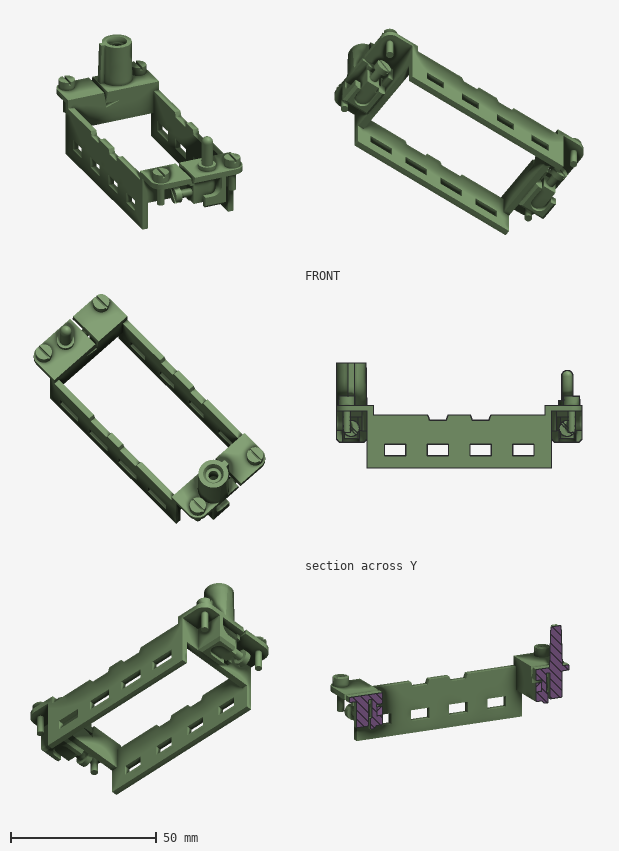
import cadquery as cq
import math

LENGTH = 84.65
WIDTH = 34.5
HALF_LENGTH = LENGTH / 2
HALF_WIDTH = WIDTH / 2
FRAME_HALF_LENGTH = 31.8
END_WALL_INNER_X = 29.55
LONG_WALL_THICKNESS = 2.1
LONG_WALL_HEIGHT = 18.4
END_WALL_BOTTOM = 9.9
PLATE_TOP = 21.7
PLATE_THICKNESS = 2.0
PLATE_BOTTOM = PLATE_TOP - PLATE_THICKNESS
CORNER_RADIUS = 4.0

FRONT_WINDOW_WIDTH = 7.2
REAR_WINDOW_WIDTH = 9.05
WINDOW_HEIGHT = 3.9
WINDOW_BOTTOM = 4.3
WINDOW_PITCH = 14.7
WINDOW_COUNT = 4
NOTCH_DEPTH = 1.8
NOTCH_SIDE_SLOPE = 0.7
FRONT_NOTCH_WIDTH = 7.0
REAR_NOTCH_WIDTH = 9.1
NOTCH_CENTERS = (-WINDOW_PITCH / 2, WINDOW_PITCH / 2)

GAP_REAR_Y = -2.2
GAP_FRONT_Y = -3.6
GAP_BOTTOM = (-3.0, 17.6)
RELIEF_FLOOR_Z = 15.8
STEP_Y = -1.3
STEP_Z = 13.4
TONGUE_END_Y = 3.05
BULB_RADIUS = 1.35
BULB_CENTER = (3.3, 18.1)
NECK_FRONT_Y = 2.1

RIB_OUTER_X = 33.6
RIB_FRONT_Y = -5.5
RIB_BOTTOM = 12.8

POST_X = 37.25
POST_Y = 4.7
BLOCK_FRONT_Y = -0.9
BLOCK_REAR_Y = 9.6
BLOCK_BOTTOM = 8.9
BLOCK_CHAMFER = 1.0
HOOK_FRONT_Y = 1.9
HOOK_FLOOR = 13.0
HOOK_REAR_Y = 8.0
HOOK_RADIUS = 3.4
CHANNEL_DIAMETER = 5.8
CORE_WIDTH = 4.7
CORE_BOTTOM = 10.2
CORE_ROUND_Y = 4.2
CORE_ROUND_RADIUS = 3.8
CORE_FRONT_Y = -1.48
LIP_OUTER_X = 40.1

BOLT_Z = 13.7
BOLT_DIAMETER = 3.0
BOLT_HEAD_DIAMETER = 5.6
BOLT_HEAD_REAR_Y = -5.9
BOLT_HEAD_HEIGHT = 2.2
BOLT_SLOT_DEPTH = 1.2
SLOT_WIDTH = 0.8
BOLT_SLOT_ANGLE = 45

SCREW_X = 38.8
SCREW_Y = 13.55
SCREW_DIAMETER = 2.5
SCREW_BOTTOM = 12.4
SCREW_HEAD_DIAMETER = 5.6
SCREW_HEAD_HEIGHT = 3.1
SCREW_SLOT_DEPTH = 1.2

BUSH_TOP = 36.3
BUSH_TOP_RADIUS = 5.2
BUSH_BASE_RADIUS = 5.4
BUSH_MOUTH_RADIUS = 3.55
BUSH_SEAT_DIAMETER = 5.5
BUSH_SEAT_DEPTH = 1.7
BUSH_HOLE_RADIUS = 1.7
BUSH_HOLE_DEPTH = 6.8
BUSH_HOLE_TIP = 1.0
KEY_WIDTH = 2.1
KEY_TOP_Y = -1.5
KEY_BASE_Y = -2.0

PIN_DIAMETER = 4.0
PIN_STRAIGHT_TOP = 31.75
COLLAR_DIAMETER = 6.0
COLLAR_TOP = 23.3


def box(x_range, y_range, z_range):
    size = [high - low for low, high in (x_range, y_range, z_range)]
    corner = (x_range[0], y_range[0], z_range[0])
    return cq.Workplane("XY").box(*size, centered=False).translate(corner)


def yz_prism(x_start, x_end, points):
    """Polygon of (Y, Z) points extruded along X."""
    return cq.Workplane("YZ", origin=(x_start, 0, 0)).polyline(points).close().extrude(x_end - x_start)


def upright_cylinder(x, y, z_range, diameter):
    low, high = z_range
    return cq.Workplane("XY", origin=(x, y, low)).circle(diameter / 2).extrude(high - low)


def both_ends(end):
    """A feature of the +X end together with its mirror image at the -X end."""
    return end.union(end.mirror("YZ"))


def bulb_z_below(y):
    """Height of the lower half of the bulb circle at a given Y."""
    center_y, center_z = BULB_CENTER
    return center_z - math.sqrt(BULB_RADIUS**2 - (y - center_y) ** 2)


NECK_FRONT = (NECK_FRONT_Y, bulb_z_below(NECK_FRONT_Y))
NECK_REAR = (TONGUE_END_Y, bulb_z_below(TONGUE_END_Y))


def front_side(x_start, x_end):
    """Everything on the front side of the joint: plate edge, tongue and its bulb."""
    bulb_top = (BULB_CENTER[0], BULB_CENTER[1] + BULB_RADIUS)
    return (
        cq.Workplane("YZ", origin=(x_start, 0, 0))
        .moveTo(-HALF_WIDTH, END_WALL_BOTTOM)
        .lineTo(STEP_Y, END_WALL_BOTTOM)
        .lineTo(STEP_Y, STEP_Z)
        .lineTo(TONGUE_END_Y, STEP_Z)
        .lineTo(*NECK_REAR)
        .threePointArc(bulb_top, NECK_FRONT)
        .lineTo(GAP_BOTTOM[0], RELIEF_FLOOR_Z)
        .lineTo(*GAP_BOTTOM)
        .lineTo(GAP_FRONT_Y, PLATE_TOP)
        .lineTo(-HALF_WIDTH, PLATE_TOP)
        .close()
        .extrude(x_end - x_start)
    )


def joint_gap():
    """V-shaped gap between the plates and the wedge-shaped relief above the tongue."""
    x_range = (END_WALL_INNER_X, HALF_LENGTH)
    plate_gap = yz_prism(*x_range, [(GAP_REAR_Y, PLATE_TOP), GAP_BOTTOM, (GAP_FRONT_Y, PLATE_TOP)])
    relief = yz_prism(*x_range, [GAP_BOTTOM, NECK_FRONT, (GAP_BOTTOM[0], RELIEF_FLOOR_Z)])
    return plate_gap.union(relief)


def uncut_end():
    """End wall and plate of the +X end, before it is divided at the joint."""
    y_range = (-HALF_WIDTH, HALF_WIDTH)
    wall = box((END_WALL_INNER_X, FRAME_HALF_LENGTH), y_range, (END_WALL_BOTTOM, PLATE_TOP))
    plate = box((END_WALL_INNER_X, HALF_LENGTH), y_range, (PLATE_BOTTOM, PLATE_TOP))
    plate = plate.edges("|Z and >X").fillet(CORNER_RADIUS)
    return wall.union(plate)


def long_wall(outer_y, inner_y, window_width, notch_width):
    y_range = (min(outer_y, inner_y), max(outer_y, inner_y))
    wall = box((-FRAME_HALF_LENGTH, FRAME_HALF_LENGTH), y_range, (0, LONG_WALL_HEIGHT))
    for index in range(WINDOW_COUNT):
        left = (index - (WINDOW_COUNT - 1) / 2) * WINDOW_PITCH - window_width / 2
        window_z = (WINDOW_BOTTOM, WINDOW_BOTTOM + WINDOW_HEIGHT)
        wall = wall.cut(box((left, left + window_width), y_range, window_z))
    floor_z = LONG_WALL_HEIGHT - NOTCH_DEPTH
    for center in NOTCH_CENTERS:
        half_top = notch_width / 2
        half_floor = half_top - NOTCH_SIDE_SLOPE
        notch = (
            cq.Workplane("XZ", origin=(0, y_range[1], 0))
            .moveTo(center - half_top, LONG_WALL_HEIGHT)
            .lineTo(center - half_floor, floor_z)
            .lineTo(center + half_floor, floor_z)
            .lineTo(center + half_top, LONG_WALL_HEIGHT)
            .close()
            .extrude(LONG_WALL_THICKNESS)
        )
        wall = wall.cut(notch)
    return wall


def screw(x, y):
    """Slotted mounting screw, seated on the plate."""
    head_top = PLATE_TOP + SCREW_HEAD_HEIGHT
    head = upright_cylinder(x, y, (PLATE_TOP, head_top), SCREW_HEAD_DIAMETER)
    half_head = SCREW_HEAD_DIAMETER / 2
    slot = box(
        (x - half_head, x + half_head),
        (y - SLOT_WIDTH / 2, y + SLOT_WIDTH / 2),
        (head_top - SCREW_SLOT_DEPTH, head_top),
    )
    return head.cut(slot).union(upright_cylinder(x, y, (SCREW_BOTTOM, PLATE_TOP), SCREW_DIAMETER))


def hook_opening(x_start, x_end):
    """Round-cornered opening above the hooks of a clamp block."""
    slant = HOOK_RADIUS * math.sqrt(0.5)
    arc_y = HOOK_REAR_Y - HOOK_RADIUS
    arc_z = HOOK_FLOOR + HOOK_RADIUS
    return (
        cq.Workplane("YZ", origin=(x_start, 0, 0))
        .moveTo(BLOCK_FRONT_Y, PLATE_BOTTOM)
        .lineTo(BLOCK_FRONT_Y, HOOK_FLOOR)
        .lineTo(arc_y, HOOK_FLOOR)
        .threePointArc((arc_y + slant, arc_z - slant), (HOOK_REAR_Y, arc_z))
        .lineTo(HOOK_REAR_Y, PLATE_BOTTOM)
        .close()
        .extrude(x_end - x_start)
    )


def channel():
    """Slot between the hooks, centred on the post in X, with a rounded rear end."""
    z_range = (BLOCK_BOTTOM, PLATE_BOTTOM)
    half_width = CHANNEL_DIAMETER / 2
    slot = box((POST_X - half_width, POST_X + half_width), (BLOCK_FRONT_Y, POST_Y), z_range)
    return slot.union(upright_cylinder(POST_X, POST_Y, z_range, CHANNEL_DIAMETER))


def core():
    """Flat-sided core in the channel, whose outer face runs into a round rear part."""
    z_range = (CORE_BOTTOM, PLATE_BOTTOM)
    outer_x = POST_X + CORE_WIDTH / 2
    straight = box((outer_x - CORE_WIDTH, outer_x), (CORE_FRONT_Y, CORE_ROUND_Y), z_range)
    round_x = outer_x - CORE_ROUND_RADIUS
    return straight.union(upright_cylinder(round_x, CORE_ROUND_Y, z_range, 2 * CORE_ROUND_RADIUS))


def clamp_block():
    """Block of the +X end: two hooks around a channel, with a core hanging in it."""
    block_z = (BLOCK_BOTTOM, PLATE_BOTTOM)
    block = box((FRAME_HALF_LENGTH, HALF_LENGTH), (BLOCK_FRONT_Y, BLOCK_REAR_Y), block_z)
    block = block.faces("<Z").edges(">X or <X or >Y").chamfer(BLOCK_CHAMFER)
    block = block.cut(hook_opening(RIB_OUTER_X, HALF_LENGTH))
    block = block.cut(box((POST_X, HALF_LENGTH), (BLOCK_FRONT_Y, HOOK_FRONT_Y), block_z))
    return block.cut(channel()).union(core())


def plate_lip():
    """Lip that carries the sloped edge of the rear plate down to the relief."""
    slope = (GAP_REAR_Y - GAP_BOTTOM[0]) / (PLATE_TOP - GAP_BOTTOM[1])
    top_y = GAP_REAR_Y - slope * PLATE_THICKNESS
    points = [
        (CORE_FRONT_Y, PLATE_BOTTOM),
        (top_y, PLATE_BOTTOM),
        GAP_BOTTOM,
        (CORE_FRONT_Y, GAP_BOTTOM[1]),
    ]
    return yz_prism(FRAME_HALF_LENGTH, LIP_OUTER_X, points)


def bolt(x):
    """Slotted clamp bolt that projects from the core toward -Y."""
    front_y = BOLT_HEAD_REAR_Y - BOLT_HEAD_HEIGHT
    shank = (
        cq.Workplane("XZ", origin=(x, CORE_FRONT_Y, BOLT_Z))
        .circle(BOLT_DIAMETER / 2)
        .extrude(CORE_FRONT_Y - BOLT_HEAD_REAR_Y)
    )
    head = (
        cq.Workplane("XZ", origin=(x, BOLT_HEAD_REAR_Y, BOLT_Z))
        .circle(BOLT_HEAD_DIAMETER / 2)
        .extrude(BOLT_HEAD_HEIGHT)
    )
    slot = (
        cq.Workplane("XY")
        .box(BOLT_HEAD_DIAMETER, BOLT_SLOT_DEPTH, SLOT_WIDTH)
        .rotate((0, 0, 0), (0, 1, 0), BOLT_SLOT_ANGLE)
        .translate((x, front_y + BOLT_SLOT_DEPTH / 2, BOLT_Z))
    )
    return shank.union(head.cut(slot))


def guide_bush():
    """Tapered bush with a key on its -Y side, trimmed flush with the end of the plate."""
    height = BUSH_TOP - PLATE_TOP
    taper = math.degrees(math.atan((BUSH_BASE_RADIUS - BUSH_TOP_RADIUS) / height))
    base = cq.Workplane("XY", origin=(-POST_X, POST_Y, PLATE_TOP))
    bush = base.circle(BUSH_BASE_RADIUS).extrude(height, taper=taper)
    key_points = [(POST_Y, PLATE_TOP), (KEY_BASE_Y, PLATE_TOP), (KEY_TOP_Y, BUSH_TOP), (POST_Y, BUSH_TOP)]
    bush = bush.union(yz_prism(-POST_X - KEY_WIDTH / 2, -POST_X + KEY_WIDTH / 2, key_points))
    keep_x = (-HALF_LENGTH, -POST_X + BUSH_BASE_RADIUS)
    bush = bush.intersect(box(keep_x, (-HALF_WIDTH, HALF_WIDTH), (PLATE_TOP, BUSH_TOP)))
    seat_z = BUSH_TOP - BUSH_SEAT_DEPTH
    hole_z = BUSH_TOP - BUSH_HOLE_DEPTH
    bore = (
        cq.Workplane("XZ")
        .moveTo(0, BUSH_TOP)
        .lineTo(BUSH_MOUTH_RADIUS, BUSH_TOP)
        .lineTo(BUSH_SEAT_DIAMETER / 2, seat_z)
        .lineTo(BUSH_HOLE_RADIUS, seat_z)
        .lineTo(BUSH_HOLE_RADIUS, hole_z)
        .lineTo(0, hole_z - BUSH_HOLE_TIP)
        .close()
        .revolve(360, (0, 0, 0), (0, 1, 0))
        .translate((-POST_X, POST_Y, 0))
    )
    return bush.cut(bore)


def guide_pin():
    """Round-nosed pin standing on a collar."""
    collar = upright_cylinder(POST_X, POST_Y, (PLATE_TOP, COLLAR_TOP), COLLAR_DIAMETER)
    shaft = upright_cylinder(POST_X, POST_Y, (COLLAR_TOP, PIN_STRAIGHT_TOP), PIN_DIAMETER)
    nose = cq.Workplane("XY").sphere(PIN_DIAMETER / 2).translate((POST_X, POST_Y, PIN_STRAIGHT_TOP))
    return collar.union(shaft).union(nose)


def make_front_half():
    end = uncut_end().intersect(front_side(END_WALL_INNER_X, HALF_LENGTH))
    rib_space = box(
        (FRAME_HALF_LENGTH, RIB_OUTER_X),
        (RIB_FRONT_Y, CORE_FRONT_Y),
        (RIB_BOTTOM, PLATE_BOTTOM),
    )
    rib = rib_space.intersect(front_side(FRAME_HALF_LENGTH, RIB_OUTER_X))
    end = end.union(rib).union(screw(SCREW_X, -SCREW_Y))
    wall = long_wall(-HALF_WIDTH, -HALF_WIDTH + LONG_WALL_THICKNESS, FRONT_WINDOW_WIDTH, FRONT_NOTCH_WIDTH)
    return wall.union(both_ends(end))


def make_rear_half():
    end = uncut_end().cut(front_side(END_WALL_INNER_X, HALF_LENGTH)).cut(joint_gap())
    end = end.union(clamp_block()).union(plate_lip()).union(screw(SCREW_X, SCREW_Y))
    wall = long_wall(HALF_WIDTH, HALF_WIDTH - LONG_WALL_THICKNESS, REAR_WINDOW_WIDTH, REAR_NOTCH_WIDTH)
    half = wall.union(both_ends(end))
    for x in (-POST_X, POST_X):
        half = half.union(bolt(x))
    return half.union(guide_bush()).union(guide_pin())


front_half = make_front_half()
rear_half = make_rear_half()

result = cq.Compound.makeCompound([front_half.val(), rear_half.val()])